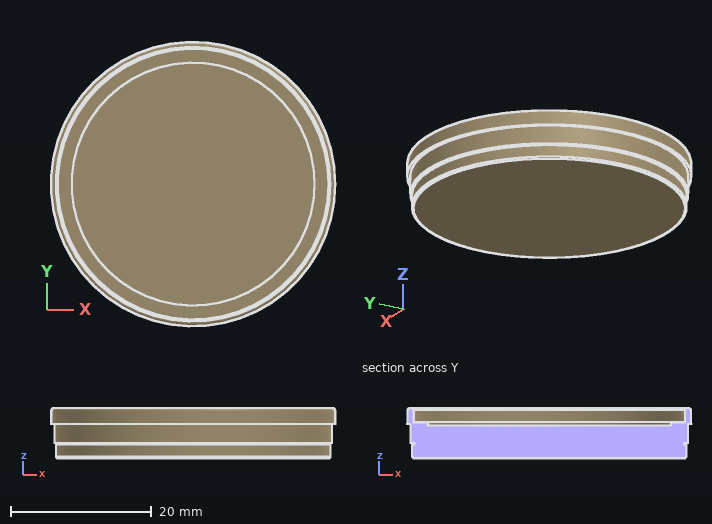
import cadquery as cq

height = 7.2
rim_diameter = 40.4
body_diameter = 39.5
groove_diameter = 38.4
base_diameter = 39.05
rim_bottom = 4.9
body_bottom = 2.2
groove_width = 0.2
base_chamfer = 0.25
rim_fillet = 0.5

bevel_diameter = 39.0
bevel_depth = 0.3
bore_diameter = 38.45
bore_depth = 2.0
pocket_diameter = 34.5
pocket_depth = 0.5


def disc(diameter, bottom, top):
    """Cylinder on the Z axis between two heights."""
    return cq.Workplane("XY").workplane(offset=bottom).circle(diameter / 2).extrude(top - bottom)


groove_bottom = body_bottom - groove_width
base = disc(base_diameter, 0, groove_bottom).faces("<Z").edges().chamfer(base_chamfer)
groove = disc(groove_diameter, groove_bottom, body_bottom)
body = disc(body_diameter, body_bottom, rim_bottom)
rim = disc(rim_diameter, rim_bottom, height).faces(">Z").edges().fillet(rim_fillet)
outside = base.union(groove).union(body).union(rim)

bore_floor = height - bore_depth
bevel = (
    cq.Workplane("XY")
    .workplane(offset=height - bevel_depth)
    .circle(bore_diameter / 2)
    .workplane(offset=bevel_depth)
    .circle(bevel_diameter / 2)
    .loft(ruled=True)
)
bore = disc(bore_diameter, bore_floor, height)
pocket = disc(pocket_diameter, bore_floor - pocket_depth, height)

result = outside.cut(bevel).cut(bore).cut(pocket)